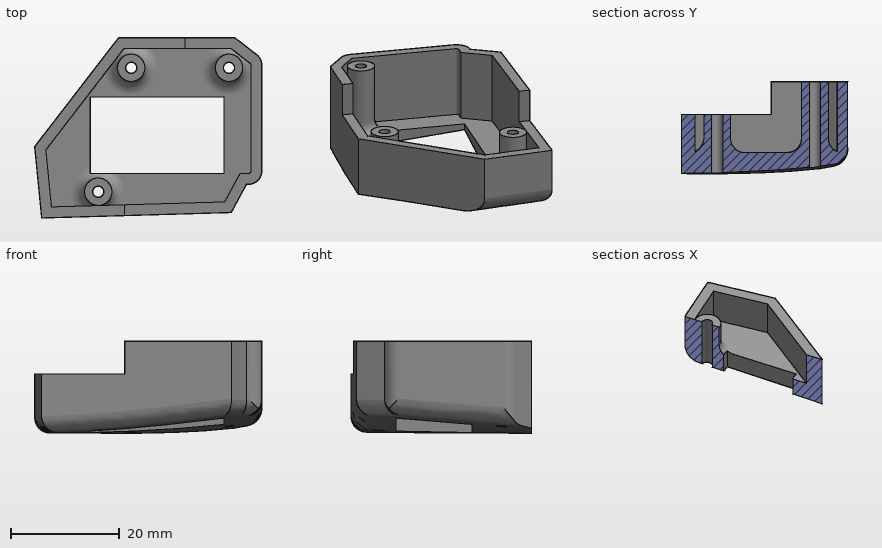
import cadquery as cq

length = 41.8
width = 33.17
height = 17.0
low_height = 11.0
wall = 2.0
floor_top = 4.0

left_corner = (0, 13.1)
back_left_corner = (15.45, width)

outline = [
    (1.3, 0),
    (36.15, 1.0),
    (38.95, 6.2),
    (length, 6.2),
    (length, 29.3),
    (36.75, width),
    back_left_corner,
    left_corner,
]
corner_radius = 2.5
bottom_radius = 3.0

front_curve = [(0, 0.15), (17.42, 1.3), (35.95, 3.68), (length, 4.43)]
back_curve = [(0, 0), (16.7, 0), (25.9, 0.2), (33.42, 0.65), (length, 1.67)]

front_step_x = 16.55
back_step_x = 27.65

window_x = (10.25, 34.8)
window_y = (8.25, 22.23)

posts = [
    (11.7, 4.85, low_height),
    (17.75, 27.6, low_height),
    (35.72, 27.6, height),
]
post_radius = 2.5
post_hole_radius = 1.0
flare_radius = 2.5


def box_between(x_range, y_range, z_range):
    size = [high - low for low, high in (x_range, y_range, z_range)]
    corner = (x_range[0], y_range[0], z_range[0])
    return cq.Workplane("XY").box(*size, centered=False).translate(corner)


def sharp_prism():
    return cq.Workplane("XY").polyline(outline).close().extrude(height)


def make_prism():
    """Outline prism with the two corners at its right-hand end rounded."""
    return sharp_prism().edges("|Z").edges(">X").fillet(corner_radius)


def underside_wire(curve, y):
    points = [cq.Vector(x, y, z) for x, z in curve]
    top_left = cq.Vector(0, y, height)
    top_right = cq.Vector(length, y, height)
    return cq.Wire.assembleEdges([
        cq.Edge.makeSpline(points),
        cq.Edge.makeLine(points[-1], top_right),
        cq.Edge.makeLine(top_right, top_left),
        cq.Edge.makeLine(top_left, points[0]),
    ])


def above_underside():
    wires = [underside_wire(front_curve, 0), underside_wire(back_curve, width)]
    return cq.Workplane(obj=cq.Solid.makeLoft(wires, True))


def rounded_bottom_edges(body):
    """Bottom edges of the left, front and right walls, up to the slanted back-right wall."""
    def is_rounded(edge):
        box = edge.BoundingBox()
        is_underside = box.zmax < height / 2
        reaches_back_walls = box.ymax > width - wall
        starts_on_back_left = box.ymin > left_corner[1] - wall and box.xmin < back_left_corner[0]
        return is_underside and not reaches_back_walls and not starts_on_back_left
    return body.edges().filter(is_rounded)


def make_body():
    sharp = sharp_prism().intersect(above_underside())
    return rounded_bottom_edges(sharp).fillet(bottom_radius).intersect(make_prism())


def make_cavity():
    inside = make_prism().faces(">Z").wires().toPending().workplane().offset2D(-wall, "intersection")
    return inside.extrude(floor_top - height, combine=False)


def make_post(x, y, top):
    flare_top = floor_top + flare_radius
    flare_edge = post_radius + flare_radius
    bend = flare_radius * 0.5 ** 0.5
    profile = (
        cq.Workplane("XZ")
        .moveTo(0, floor_top)
        .lineTo(flare_edge, floor_top)
        .threePointArc((flare_edge - bend, flare_top - bend), (post_radius, flare_top))
        .lineTo(post_radius, top)
        .lineTo(0, top)
        .close()
    )
    return profile.revolve(360, (0, 0, 0), (0, 1, 0)).translate((x, y, 0))


body = make_body()
cavity = make_cavity()
result = body.cut(cavity)
for x, y, top in posts:
    result = result.union(make_post(x, y, top).intersect(cavity))

for x, y, top in posts:
    result = result.cut(cq.Workplane("XY").center(x, y).circle(post_hole_radius).extrude(height))
result = result.cut(box_between(window_x, window_y, (0, floor_top + flare_radius)))
result = result.cut(box_between((0, front_step_x), (0, width / 2), (low_height, height)))
result = result.cut(box_between((0, back_step_x), (width / 2, width), (low_height, height)))